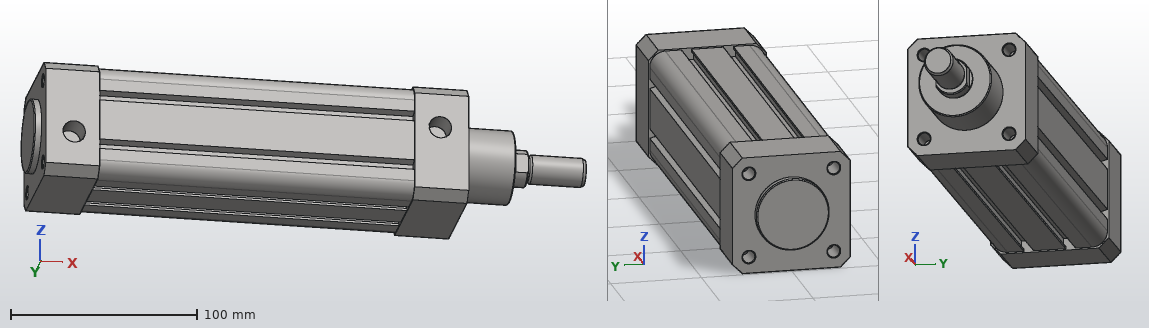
import cadquery as cq
import math


LENGTH = 304.0
BOSS_LENGTH = 4.0
CAP_LENGTH = 29.5
TUBE_LENGTH = 172.0
NECK_LENGTH = 28.3
REAR_CAP_START = BOSS_LENGTH
TUBE_START = REAR_CAP_START + CAP_LENGTH
FRONT_CAP_START = TUBE_START + TUBE_LENGTH
FRONT_CAP_END = FRONT_CAP_START + CAP_LENGTH
NECK_END = FRONT_CAP_END + NECK_LENGTH

CAP_SIZE = 65.0
CAP_CORNER_CHAMFER = 5.5
COLLAR_RADIUS = 20.0
COLLAR_CHAMFER = 0.5
BOLT_OFFSET = 23.5
BOLT_HOLE_RADIUS = 3.3
BOLT_HOLE_DEPTH = 15.2
BOLT_HOLE_CHAMFER = 0.45
PORT_RADIUS = 6.0
PORT_DEPTH = 15.2
PORT_FROM_TUBE = 14.0
PORT_HEIGHT = 8.2

TUBE_SIZE = 63.5
TUBE_CORNER_RADIUS = 8.5
SLOT_WIDTH = 5.5
TOP_SLOT_OFFSET = 11.5
TOP_SLOT_DEPTH = 5.8
LIP_THICKNESS = 1.2
UNDERCUT_WIDTH = 8.0
SIDE_SLOT_OFFSET = 14.0
SIDE_SLOT_DEPTH = 4.5
SIDE_SLOT_TAPER = 16.0

ROD_RADIUS = 10.0
ROD_CHAMFER = 0.5
FLAT_SPAN = 17.0
SHOULDER_LENGTH = 1.8
STUD_RADIUS = 8.0
STUD_LENGTH = 32.0
RELIEF_RADIUS = 7.0
RELIEF_LENGTH = 1.2
RUN_IN_LENGTH = 1.2
TIP_BEVEL_LENGTH = 1.8
FLATS_START = NECK_END + SHOULDER_LENGTH
ROD_END = LENGTH - STUD_LENGTH


def section_plane(x):
    """Plane across the cylinder at x: local X is +Y, local Y is +Z, normal is +X."""
    return cq.Workplane(cq.Plane(origin=(x, 0, 0), xDir=(0, 1, 0), normal=(1, 0, 0)))


def collar(start, end):
    """Round collar of a cap, running from x = start to x = end."""
    return section_plane(start).circle(COLLAR_RADIUS).extrude(end - start)


def bolt_holes(outer_face, direction):
    """Four blind holes with a bevelled mouth, from the outer face of a cap inward along direction."""
    bevel_end = outer_face + direction * BOLT_HOLE_CHAMFER
    hole_end = outer_face + direction * BOLT_HOLE_DEPTH
    hole = (
        cq.Workplane("XY")
        .moveTo(outer_face, 0)
        .lineTo(outer_face, BOLT_HOLE_RADIUS + BOLT_HOLE_CHAMFER)
        .lineTo(bevel_end, BOLT_HOLE_RADIUS)
        .lineTo(hole_end, BOLT_HOLE_RADIUS)
        .lineTo(hole_end, 0)
        .close()
        .revolve(360, (0, 0, 0), (1, 0, 0))
    )
    holes = cq.Workplane("XY")
    for y in (-BOLT_OFFSET, BOLT_OFFSET):
        for z in (-BOLT_OFFSET, BOLT_OFFSET):
            holes = holes.add(hole.translate((0, y, z)))
    return holes.combine()


def port(x, z):
    """Air port drilled into the -Y side of a cap."""
    return (
        cq.Workplane("XZ", origin=(x, -CAP_SIZE / 2, 0))
        .center(0, z)
        .circle(PORT_RADIUS)
        .extrude(-PORT_DEPTH)
    )


def cap_block(start):
    """Square block with bevelled long edges."""
    return (
        section_plane(start)
        .rect(CAP_SIZE, CAP_SIZE)
        .extrude(CAP_LENGTH)
        .edges("|X")
        .chamfer(CAP_CORNER_CHAMFER)
    )


def make_rear_cap():
    """Cap with the short round boss on its -X side."""
    boss = collar(0, TUBE_START).faces("<X").chamfer(COLLAR_CHAMFER)
    return (
        cap_block(REAR_CAP_START)
        .union(boss)
        .cut(bolt_holes(REAR_CAP_START, 1))
        .cut(port(TUBE_START - PORT_FROM_TUBE, -PORT_HEIGHT))
    )


def make_front_cap():
    """Cap with the long neck that carries the rod."""
    neck = collar(FRONT_CAP_START, NECK_END).faces(">X").chamfer(COLLAR_CHAMFER)
    return (
        cap_block(FRONT_CAP_START)
        .union(neck)
        .cut(bolt_holes(FRONT_CAP_END, -1))
        .cut(port(FRONT_CAP_START + PORT_FROM_TUBE, PORT_HEIGHT))
    )


def top_slot(offset):
    """T-shaped slot along the top face, centred at y = offset."""
    undercut_depth = TOP_SLOT_DEPTH - LIP_THICKNESS
    mouth_middle = (TUBE_SIZE - TOP_SLOT_DEPTH) / 2
    undercut_middle = TUBE_SIZE / 2 - LIP_THICKNESS - undercut_depth / 2
    mouth = section_plane(TUBE_START).center(offset, mouth_middle)
    undercut = section_plane(TUBE_START).center(offset, undercut_middle)
    return (
        mouth.rect(SLOT_WIDTH, TOP_SLOT_DEPTH)
        .extrude(TUBE_LENGTH)
        .union(undercut.rect(UNDERCUT_WIDTH, undercut_depth).extrude(TUBE_LENGTH))
    )


def side_slot(offset):
    """Slot along the -Y face, centred at z = offset and narrowing towards its floor."""
    mouth_y = -TUBE_SIZE / 2
    floor_y = mouth_y + SIDE_SLOT_DEPTH
    half_mouth = SLOT_WIDTH / 2
    half_floor = half_mouth - SIDE_SLOT_DEPTH * math.tan(math.radians(SIDE_SLOT_TAPER))
    return (
        section_plane(TUBE_START)
        .moveTo(mouth_y, offset - half_mouth)
        .lineTo(floor_y, offset - half_floor)
        .lineTo(floor_y, offset + half_floor)
        .lineTo(mouth_y, offset + half_mouth)
        .close()
        .extrude(TUBE_LENGTH)
    )


def make_tube():
    """Square tube body with rounded edges and two slots along each face."""
    tube = (
        section_plane(TUBE_START)
        .rect(TUBE_SIZE, TUBE_SIZE)
        .extrude(TUBE_LENGTH)
        .edges("|X")
        .fillet(TUBE_CORNER_RADIUS)
    )
    for side in (-1, 1):
        upper = top_slot(side * TOP_SLOT_OFFSET)
        near = side_slot(side * SIDE_SLOT_OFFSET)
        for cutter in (upper, upper.mirror("XY"), near, near.mirror("XZ")):
            tube = tube.cut(cutter)
    return tube


def rod_flat_waste(side):
    """Material removed from one side of the rod to leave a wrench flat."""
    flat_length = ROD_END - FLATS_START
    return (
        cq.Workplane("XY")
        .box(flat_length, ROD_RADIUS, 2 * ROD_RADIUS, centered=(False, True, True))
        .translate((FLATS_START, side * (FLAT_SPAN + ROD_RADIUS) / 2, 0))
    )


def make_rod():
    """Stepped rod standing on the end of the neck, with two wrench flats."""
    relief_end = ROD_END + RELIEF_LENGTH
    rod = (
        cq.Workplane("XY")
        .moveTo(NECK_END, 0)
        .lineTo(NECK_END, ROD_RADIUS - ROD_CHAMFER)
        .lineTo(NECK_END + ROD_CHAMFER, ROD_RADIUS)
        .lineTo(ROD_END - ROD_CHAMFER, ROD_RADIUS)
        .lineTo(ROD_END, ROD_RADIUS - ROD_CHAMFER)
        .lineTo(ROD_END, RELIEF_RADIUS)
        .lineTo(relief_end, RELIEF_RADIUS)
        .lineTo(relief_end + RUN_IN_LENGTH, STUD_RADIUS)
        .lineTo(LENGTH - TIP_BEVEL_LENGTH, STUD_RADIUS)
        .lineTo(LENGTH, RELIEF_RADIUS)
        .lineTo(LENGTH, 0)
        .close()
        .revolve(360, (0, 0, 0), (1, 0, 0))
    )
    for side in (-1, 1):
        rod = rod.cut(rod_flat_waste(side))
    return rod


rear_cap = make_rear_cap()
tube = make_tube()
front_cap = make_front_cap()
rod = make_rod()

result = cq.Compound.makeCompound([rear_cap.val(), tube.val(), front_cap.val(), rod.val()])